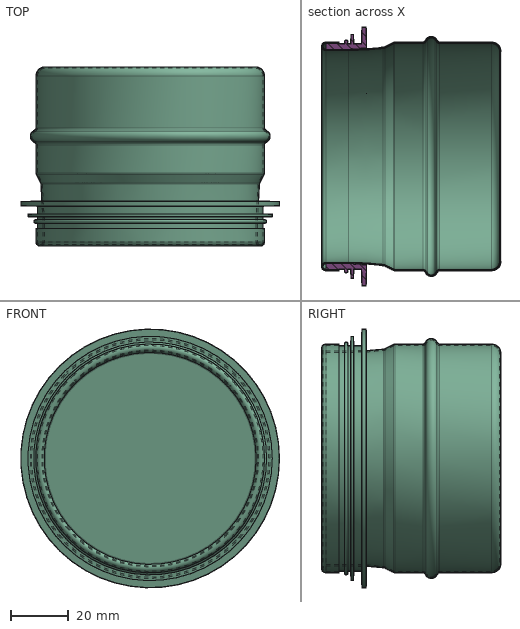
import cadquery as cq
import math

length = 62.0
front_y = -length / 2
back_y = length / 2
sheet = 0.49
body_radius = 79.1 / 2
corner_radius = 3.2

mouth_radius = 73.3 / 2
mouth_outer_radius = mouth_radius + sheet
fold_inner_radius = body_radius - sheet
rim_radius = (body_radius - mouth_radius) / 2
rim_center = mouth_radius + rim_radius
rim_y = front_y + rim_radius
fold_end_y = front_y + 6.1

neck_start_y = front_y + 9.3
neck_end_y = front_y + 21.65
neck_end_radius = 37.8
shoulder_end_y = front_y + 25.05
shoulder_blend = 1.25

bead_y = front_y + 37.9
bead_crown = 2.15
bead_slope = math.radians(55)
bead_top_radius = 41.5
bead_blend = 0.8

seal_end_y = front_y + 15.6
flange_radius = 44.7
flange_tip = 1.5
flange_root = 1.8
lip_radius = 84.4 / 2
lip_start_y = front_y + 10.0
lip_tip = 0.9
lip_root = 1.2
ridge_radius = 40.25
ridge_y = front_y + 8.5
ridge_width = 1.25


def revolve_about_y(profile):
    """Full turn of a closed (radius, Y) profile about the Y axis."""
    return profile.close().revolve(360, (0, 0, 0), (0, 1, 0))


def blend_arc(sketch, corner, before, after, radius):
    """Line up to a corner and round it with a tangent arc of the given radius."""
    def unit_to(point):
        dx, dy = point[0] - corner[0], point[1] - corner[1]
        size = math.hypot(dx, dy)
        return dx / size, dy / size

    ux, uy = unit_to(before)
    vx, vy = unit_to(after)
    half_angle = math.acos(ux * vx + uy * vy) / 2
    setback = radius / math.tan(half_angle)
    middle = radius / math.sin(half_angle) - radius
    bisector = math.hypot(ux + vx, uy + vy)
    start = (corner[0] + ux * setback, corner[1] + uy * setback)
    mid = (corner[0] + (ux + vx) / bisector * middle, corner[1] + (uy + vy) / bisector * middle)
    end = (corner[0] + vx * setback, corner[1] + vy * setback)
    return sketch.lineTo(*start).threePointArc(mid, end)


def wall_solid(inset):
    """Solid bounded by the cup wall from neck to back, moved inward by inset."""
    radius = body_radius - inset
    neck_radius = neck_end_radius - inset
    start = (mouth_outer_radius - inset, neck_start_y)
    neck = (neck_radius, neck_end_y)
    shoulder = (radius, shoulder_end_y)
    back = back_y - inset
    corner = corner_radius - inset

    crown = bead_crown - inset
    blend = bead_blend + inset
    crown_center = bead_top_radius - bead_crown
    crown_end = (crown_center + crown * math.cos(bead_slope), crown * math.sin(bead_slope))
    blend_rise = blend * (1 - math.cos(bead_slope))
    flank_end_radius = radius + blend_rise
    flank_run = (crown_end[0] - flank_end_radius) / math.tan(bead_slope)
    flank_end = (flank_end_radius, crown_end[1] + flank_run)
    half_width = flank_end[1] + blend * math.sin(bead_slope)
    blend_mid = (
        radius + blend * (1 - math.cos(bead_slope / 2)),
        half_width - blend * math.sin(bead_slope / 2),
    )

    def on_bead(point, side):
        return point[0], bead_y + side * point[1]

    sketch = cq.Workplane("XY").moveTo(0, front_y).lineTo(start[0], front_y).lineTo(*start)
    sketch = blend_arc(sketch, neck, start, shoulder, shoulder_blend + inset)
    sketch = blend_arc(sketch, shoulder, neck, (radius, bead_y), shoulder_blend - inset)
    sketch = (
        sketch.lineTo(radius, bead_y - half_width)
        .threePointArc(on_bead(blend_mid, -1), on_bead(flank_end, -1))
        .lineTo(*on_bead(crown_end, -1))
        .threePointArc((crown_center + crown, bead_y), on_bead(crown_end, 1))
        .lineTo(*on_bead(flank_end, 1))
        .threePointArc(on_bead(blend_mid, 1), (radius, bead_y + half_width))
    )
    sketch = blend_arc(sketch, (radius, back), (radius, bead_y), (0, back), corner)
    return revolve_about_y(sketch.lineTo(0, back))


def make_rim():
    """Half-round roll and the outer strip that grips the seal."""
    return revolve_about_y(
        cq.Workplane("XY")
        .moveTo(mouth_radius, fold_end_y)
        .lineTo(mouth_radius, rim_y)
        .threePointArc((rim_center, front_y), (body_radius, rim_y))
        .lineTo(body_radius, fold_end_y)
        .lineTo(fold_inner_radius, fold_end_y)
        .lineTo(fold_inner_radius, rim_y)
        .threePointArc((rim_center, front_y + sheet), (mouth_outer_radius, rim_y))
        .lineTo(mouth_outer_radius, fold_end_y)
    )


def make_cap():
    cup = wall_solid(0).cut(wall_solid(sheet))
    front_part = cq.Workplane("XZ", origin=(0, rim_y, 0)).circle(flange_radius).extrude(rim_radius)
    return cup.cut(front_part).union(make_rim())


def make_seal(cap):
    """Ring between tube and fold, with a back flange, a lip and a rounded ridge."""
    flange_mid = seal_end_y - flange_root / 2
    lip_mid = lip_start_y + lip_root / 2
    ridge_round = ridge_width / 2
    base = fold_inner_radius
    ring = revolve_about_y(
        cq.Workplane("XY")
        .moveTo(mouth_radius, rim_y)
        .lineTo(base, rim_y)
        .lineTo(base, ridge_y - ridge_round)
        .lineTo(ridge_radius - ridge_round, ridge_y - ridge_round)
        .threePointArc((ridge_radius, ridge_y), (ridge_radius - ridge_round, ridge_y + ridge_round))
        .lineTo(base, ridge_y + ridge_round)
        .lineTo(base, lip_start_y)
        .lineTo(lip_radius, lip_mid - lip_tip / 2)
        .lineTo(lip_radius, lip_mid + lip_tip / 2)
        .lineTo(base, lip_start_y + lip_root)
        .lineTo(base, seal_end_y - flange_root)
        .lineTo(flange_radius, flange_mid - flange_tip / 2)
        .lineTo(flange_radius, flange_mid + flange_tip / 2)
        .lineTo(base, seal_end_y)
        .lineTo(mouth_radius, seal_end_y)
    )
    return ring.cut(wall_solid(0)).cut(cap)


cap = make_cap()
seal = make_seal(cap)
result = cq.Compound.makeCompound([cap.val(), seal.val()])